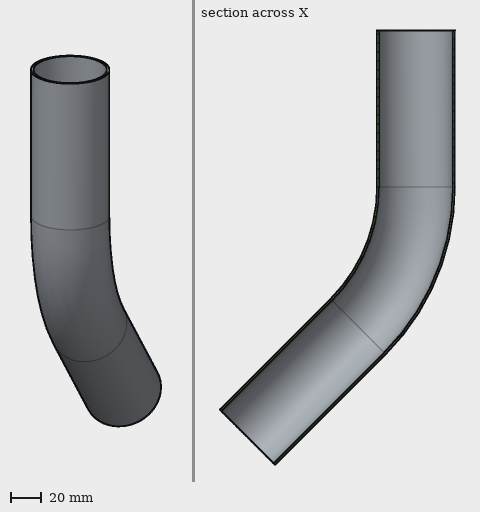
import cadquery as cq
import math

overall_height = 281.2
outer_diameter = 51.0
inner_diameter = 47.5
leg_length = 101.2
bend_angle = 45.0

angle = math.radians(bend_angle)
outer_radius = outer_diameter / 2
legs_height = leg_length * (1 + math.cos(angle))
rim_drop = outer_radius * math.sin(angle)
bend_radius = (overall_height - legs_height - rim_drop) / math.sin(angle)


def tube_ring(plane):
    """Annular cross-section of the tube on the given plane."""
    return cq.Workplane(plane).circle(outer_diameter / 2).circle(inner_diameter / 2)


bend_end = (
    0,
    bend_radius * (1 - math.cos(angle)),
    -bend_radius * math.sin(angle),
)
lower_direction = (0, math.sin(angle), -math.cos(angle))

upper_leg = tube_ring(cq.Plane.XY()).extrude(leg_length)

bend = tube_ring(cq.Plane.XY()).revolve(bend_angle, (0, bend_radius), (1, bend_radius))

lower_plane = cq.Plane(origin=bend_end, xDir=(1, 0, 0), normal=lower_direction)
lower_leg = tube_ring(lower_plane).extrude(leg_length)

result = upper_leg.union(bend).union(lower_leg)